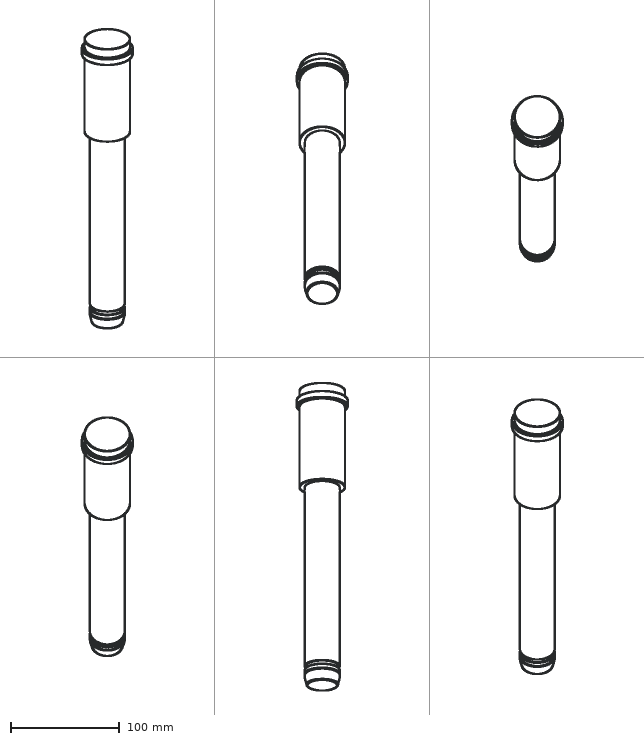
import cadquery as cq

LENGTH = 290.0
SHAFT_RADIUS = 32.2 / 2
SLEEVE_RADIUS = 42.0 / 2
COLLAR_RADIUS = 47.0 / 2

HEAD_LENGTH = 9.0
COLLAR_THICKNESS = 6.5
SLEEVE_LENGTH = 95.0
EDGE_CHAMFER = 0.44

TAPER_HEIGHT = 7.5
TAPER_END_RADIUS = 14.5
TIP_CHAMFER = 1.0

GROOVE_DEPTH = 0.3
GROOVE_WALL_HEIGHT = 0.5
WIDE_GROOVE_BOTTOM = 14.8
WIDE_GROOVE_TOP = 18.8
NARROW_GROOVE_BOTTOM = 10.2
NARROW_GROOVE_TOP = NARROW_GROOVE_BOTTOM + 2 * GROOVE_WALL_HEIGHT


def chamfered_disc(radius, bottom, top):
    """Cylinder on the Z axis with both rims chamfered."""
    disc = cq.Workplane("XY").workplane(offset=bottom).circle(radius).extrude(top - bottom)
    return disc.edges("%CIRCLE").chamfer(EDGE_CHAMFER)


def shaft():
    """Plain shaft that tapers to a chamfered tip."""
    return (
        cq.Workplane("XZ")
        .lineTo(TAPER_END_RADIUS - TIP_CHAMFER, 0)
        .lineTo(TAPER_END_RADIUS, TIP_CHAMFER)
        .lineTo(SHAFT_RADIUS, TAPER_HEIGHT)
        .lineTo(SHAFT_RADIUS, LENGTH - HEAD_LENGTH)
        .lineTo(0, LENGTH - HEAD_LENGTH)
        .close()
        .revolve(360, (0, 0), (0, 1))
    )


def groove_ring(bottom, top):
    """Ring of material removed by a groove with sloping walls."""
    floor_radius = SHAFT_RADIUS - GROOVE_DEPTH
    floor_bottom = bottom + GROOVE_WALL_HEIGHT
    floor_top = top - GROOVE_WALL_HEIGHT
    profile = cq.Workplane("XZ").moveTo(SHAFT_RADIUS, bottom).lineTo(floor_radius, floor_bottom)
    if floor_top - floor_bottom > GROOVE_DEPTH:
        profile = profile.lineTo(floor_radius, floor_top)
    return profile.lineTo(SHAFT_RADIUS, top).close().revolve(360, (0, 0), (0, 1))


collar_top = LENGTH - HEAD_LENGTH
collar_bottom = collar_top - COLLAR_THICKNESS
sleeve_bottom = LENGTH - SLEEVE_LENGTH

result = shaft()
for radius, bottom, top in (
    (SLEEVE_RADIUS, sleeve_bottom, collar_bottom),
    (COLLAR_RADIUS, collar_bottom, collar_top),
    (SLEEVE_RADIUS, collar_top, LENGTH),
):
    result = result.union(chamfered_disc(radius, bottom, top))

for bottom, top in (
    (NARROW_GROOVE_BOTTOM, NARROW_GROOVE_TOP),
    (WIDE_GROOVE_BOTTOM, WIDE_GROOVE_TOP),
):
    result = result.cut(groove_ring(bottom, top))